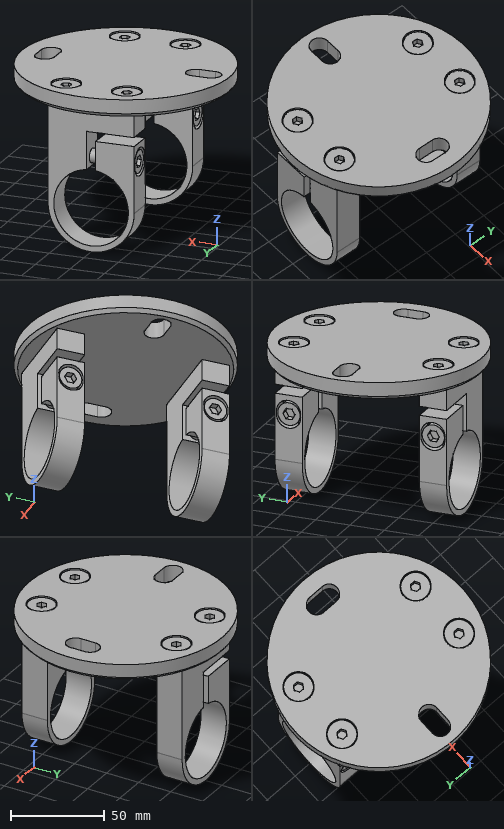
import cadquery as cq
import math

PLATE_DIAMETER = 120.0
PLATE_THICKNESS = 10.0
PLATE_CHAMFER = 2.0
SLOT_LENGTH = 20.0
SLOT_WIDTH = 11.0
SLOT_CENTRE_X = 45.0

CLAMP_CENTRE_Y = 42.0
CLAMP_THICKNESS = 16.0
CLAMP_RADIUS = 25.0
BORE_DIAMETER = 43.0
BORE_DROP = 56.0
BRIDGE_HEIGHT = 13.0
GAP_WIDTH = 5.0

MOUNT_SPACING_X = 35.0
MOUNT_HEAD_DIAMETER = 16.0
MOUNT_HEAD_HEIGHT = 4.9
MOUNT_HEAD_RIM = 1.0
MOUNT_HEAD_SINK = 0.7
MOUNT_RECESS_DIAMETER = 16.5
MOUNT_SCREW_LENGTH = 20.0
MOUNT_HEX_FLATS = 5.0
MOUNT_HEX_DEPTH = 3.6

SHANK_DIAMETER = 8.0
PINCH_DROP = 29.0
PINCH_HEAD_DIAMETER = 13.0
PINCH_HEAD_HEIGHT = 8.0
PINCH_HEAD_SINK = 0.5
PINCH_SHANK_LENGTH = 30.0
PINCH_RECESS_WIDTH = 14.0
PINCH_RECESS_HEIGHT = 16.0
PINCH_HEX_FLATS = 6.0
PINCH_HEX_DEPTH = 4.0

UNDERSIDE_Z = -PLATE_THICKNESS
BORE_Z = UNDERSIDE_Z - BORE_DROP
GAP_TOP_Z = UNDERSIDE_Z - BRIDGE_HEIGHT
PINCH_Z = UNDERSIDE_Z - PINCH_DROP
PINCH_HEAD_X = -CLAMP_RADIUS + PINCH_HEAD_SINK
CLAMP_PLACES_Y = [-CLAMP_CENTRE_Y, CLAMP_CENTRE_Y]
MOUNT_PLACES = [
    (side * MOUNT_SPACING_X / 2, y) for y in CLAMP_PLACES_Y for side in (-1, 1)
]


def hex_corner_diameter(across_flats):
    return across_flats / math.cos(math.pi / 6)


def make_mount_envelope():
    """Countersunk screw without its socket, on the Z axis."""
    head_radius = MOUNT_HEAD_DIAMETER / 2
    shank_radius = SHANK_DIAMETER / 2
    head_top = -MOUNT_HEAD_SINK
    return (
        cq.Workplane("XZ")
        .moveTo(0, head_top)
        .lineTo(head_radius, head_top)
        .lineTo(head_radius, head_top - MOUNT_HEAD_RIM)
        .lineTo(shank_radius, head_top - MOUNT_HEAD_HEIGHT)
        .lineTo(shank_radius, head_top - MOUNT_SCREW_LENGTH)
        .lineTo(0, head_top - MOUNT_SCREW_LENGTH)
        .close()
        .revolve(360, (0, 0, 0), (0, 1, 0))
    )


def make_mount_screw():
    """Countersunk screw with hexagon corners along Y."""
    socket = (
        cq.Workplane("XY", origin=(0, 0, -MOUNT_HEAD_SINK))
        .transformed(rotate=(0, 0, 90))
        .polygon(6, hex_corner_diameter(MOUNT_HEX_FLATS))
        .extrude(-MOUNT_HEX_DEPTH)
    )
    return make_mount_envelope().cut(socket)


def make_pinch_envelope(y):
    """Socket head screw without its socket, its head just inside the -X side of the clamp."""
    head = (
        cq.Workplane("YZ", origin=(PINCH_HEAD_X, y, PINCH_Z))
        .circle(PINCH_HEAD_DIAMETER / 2)
        .extrude(PINCH_HEAD_HEIGHT)
    )
    return head.faces(">X").workplane().circle(SHANK_DIAMETER / 2).extrude(PINCH_SHANK_LENGTH)


def make_pinch_screw(y):
    """Socket head screw with hexagon corners along Y."""
    socket = (
        cq.Workplane("YZ", origin=(PINCH_HEAD_X, y, PINCH_Z))
        .polygon(6, hex_corner_diameter(PINCH_HEX_FLATS))
        .extrude(PINCH_HEX_DEPTH)
    )
    return make_pinch_envelope(y).cut(socket)


def make_plate():
    """Chamfered disc with two through slots and four countersunk screw holes."""
    plate = (
        cq.Workplane("XY")
        .circle(PLATE_DIAMETER / 2)
        .extrude(-PLATE_THICKNESS)
        .faces("<Z")
        .chamfer(PLATE_CHAMFER)
    )
    radial_slot = (
        cq.Workplane("XY")
        .center(-SLOT_CENTRE_X, 0)
        .slot2D(SLOT_LENGTH, SLOT_WIDTH)
        .extrude(-PLATE_THICKNESS)
    )
    tangential_slot = (
        cq.Workplane("XY")
        .center(SLOT_CENTRE_X, 0)
        .slot2D(SLOT_LENGTH, SLOT_WIDTH, 90)
        .extrude(-PLATE_THICKNESS)
    )
    plate = plate.cut(radial_slot).cut(tangential_slot)
    recesses = (
        cq.Workplane("XY")
        .pushPoints(MOUNT_PLACES)
        .circle(MOUNT_RECESS_DIAMETER / 2)
        .extrude(-MOUNT_HEAD_SINK - MOUNT_HEAD_RIM)
    )
    plate = plate.cut(recesses)
    for x, y in MOUNT_PLACES:
        plate = plate.cut(make_mount_envelope().translate((x, y, 0)))
    return plate


def make_clamp(y):
    """Split tube clamp whose -X arm is freed by an L-shaped gap and closed by a screw."""
    profile = cq.Workplane("XZ", origin=(0, y + CLAMP_THICKNESS / 2, 0))
    clamp = (
        profile.moveTo(-CLAMP_RADIUS, UNDERSIDE_Z)
        .lineTo(CLAMP_RADIUS, UNDERSIDE_Z)
        .lineTo(CLAMP_RADIUS, BORE_Z)
        .threePointArc((0, BORE_Z - CLAMP_RADIUS), (-CLAMP_RADIUS, BORE_Z))
        .close()
        .extrude(CLAMP_THICKNESS)
    )
    bore = profile.center(0, BORE_Z).circle(BORE_DIAMETER / 2).extrude(CLAMP_THICKNESS)
    gap = (
        profile.moveTo(-CLAMP_RADIUS, GAP_TOP_Z)
        .lineTo(GAP_WIDTH / 2, GAP_TOP_Z)
        .lineTo(GAP_WIDTH / 2, BORE_Z)
        .lineTo(-GAP_WIDTH / 2, BORE_Z)
        .lineTo(-GAP_WIDTH / 2, GAP_TOP_Z - GAP_WIDTH)
        .lineTo(-CLAMP_RADIUS, GAP_TOP_Z - GAP_WIDTH)
        .close()
        .extrude(CLAMP_THICKNESS)
    )
    head_recess = (
        cq.Workplane("YZ", origin=(-CLAMP_RADIUS, y, PINCH_Z))
        .slot2D(PINCH_RECESS_HEIGHT, PINCH_RECESS_WIDTH, 90)
        .extrude(PINCH_HEAD_SINK + PINCH_HEAD_HEIGHT)
    )
    clamp = clamp.cut(bore).cut(gap).cut(head_recess).cut(make_pinch_envelope(y))
    for side in (-1, 1):
        clamp = clamp.cut(make_mount_envelope().translate((side * MOUNT_SPACING_X / 2, y, 0)))
    return clamp


plate = make_plate()
clamps = [make_clamp(y) for y in CLAMP_PLACES_Y]
mount_screws = [make_mount_screw().translate((x, y, 0)) for x, y in MOUNT_PLACES]
pinch_screws = [make_pinch_screw(y) for y in CLAMP_PLACES_Y]

bodies = [plate, *clamps, *mount_screws, *pinch_screws]
result = cq.Compound.makeCompound([body.val() for body in bodies])